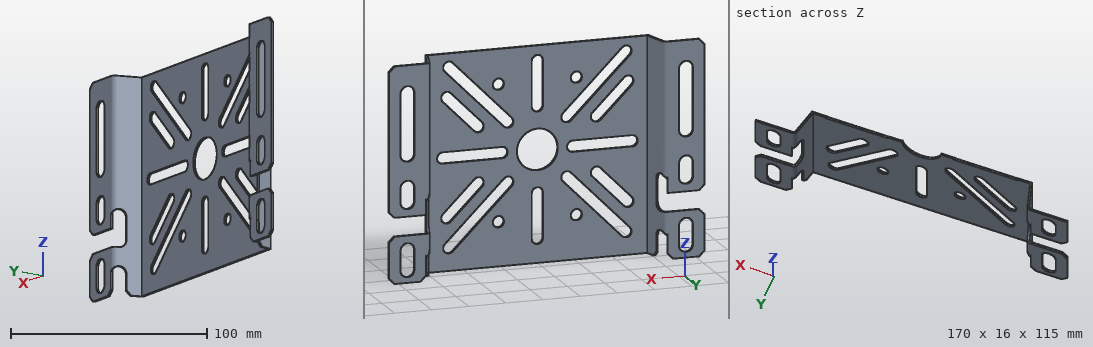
import cadquery as cq
import math

WIDTH = 170.0
DEPTH = 16.0
HEIGHT = 115.0
SHEET = 1.2

PLATE_HALF_WIDTH = 60.0
WALL_LEAN = math.radians(15.0)
BEND_RADIUS = 1.5
FLANGE_FRONT = DEPTH - SHEET
BEND_TANGENT = BEND_RADIUS * math.tan((math.pi / 2 - WALL_LEAN) / 2)
FLANGE_EDGE = PLATE_HALF_WIDTH + FLANGE_FRONT * math.tan(WALL_LEAN) + BEND_TANGENT
ARC_MID = math.sqrt(0.5)
THROUGH = 3 * DEPTH

LOWER_TAB_TOP = 25.0
UPPER_TAB_BOTTOM = 35.0
TAB_CHAMFER = 3.0
TAB_SLOT_X = 75.0
TAB_SLOT_WIDTH = 7.5
TAB_SLOT_RANGES = ((3.0, 21.0), (39.0, 54.0), (64.0, 104.0))

RELIEF_RADIUS = 4.0
RELIEF_START = 9.0
RELIEF_CROWN = RELIEF_START + RELIEF_RADIUS
RELIEF_END = 17.0
LOWER_RELIEF_TOP = 15.0
UPPER_RELIEF_TOP = 45.0
WALL_CHAMFER = 2.4

HUB_Z = 60.0
HUB_DIAMETER = 22.0
SLOT_WIDTH = 6.0
SCREW_DIAMETER = 6.0
SCREW_CIRCLE_RADIUS = 42.0
SCREW_ANGLES = (60.0, 120.0, 240.0, 300.0)
DIAGONAL_ANGLES = (45.0, 135.0, 225.0, 315.0)
HORIZONTAL_SLOT = (16.0, 54.0)
VERTICAL_SLOT = (20.0, 50.0)
DIAGONAL_RADIUS = 45.0
LONG_DIAGONAL_LENGTH = 51.0
SHORT_DIAGONAL_LENGTH = 30.0
SHORT_DIAGONAL_OFFSET = 12.0


def both_sides(body):
    """Return a body together with its mirror image across X = 0."""
    return body.union(body.mirror("YZ"))


def front_plane():
    """Workplane on Y = 0 whose local axes are X and Z."""
    return cq.Workplane("XZ")


def through_slot(x, z, length, width, angle):
    """Round-ended cutter along Y, centred at (x, z)."""
    return front_plane().center(x, z).slot2D(length, width, angle).extrude(THROUGH, both=True)


def through_box(x_min, x_max, z_min, z_max):
    """Rectangular cutter along Y."""
    size_x = x_max - x_min
    size_z = z_max - z_min
    box = cq.Workplane("XY").box(size_x, THROUGH, size_z, centered=(False, True, False))
    return box.translate((x_min, 0, z_min))


def folded_channel():
    half_width = WIDTH / 2
    slope = math.tan(WALL_LEAN)
    inner_shift = SHEET / math.cos(WALL_LEAN)
    outer_top = PLATE_HALF_WIDTH + FLANGE_FRONT * slope
    inner_foot = PLATE_HALF_WIDTH + SHEET * slope - inner_shift
    inner_top = PLATE_HALF_WIDTH + DEPTH * slope - inner_shift
    right_side = [
        (PLATE_HALF_WIDTH, 0),
        (outer_top, FLANGE_FRONT),
        (half_width, FLANGE_FRONT),
        (half_width, DEPTH),
        (inner_top, DEPTH),
        (inner_foot, SHEET),
    ]
    left_side = [(-x, y) for x, y in reversed(right_side)]
    channel = cq.Workplane("XY").polyline(right_side + left_side).close().extrude(HEIGHT)
    for side in (-1, 1):
        concave_edge = cq.selectors.NearestToPointSelector((side * outer_top, FLANGE_FRONT, HEIGHT / 2))
        channel = channel.edges("|Z").edges(concave_edge).fillet(BEND_RADIUS)
        convex_edge = cq.selectors.NearestToPointSelector((side * inner_top, DEPTH, HEIGHT / 2))
        channel = channel.edges("|Z").edges(convex_edge).fillet(BEND_RADIUS + SHEET)
    return channel


def corner_cutter(x, z, x_sign, z_sign):
    """Triangular cutter for a flange corner at (x, z); the signs point into the flange."""
    corner = [(x, z), (x + x_sign * TAB_CHAMFER, z), (x, z + z_sign * TAB_CHAMFER)]
    return front_plane().polyline(corner).close().extrude(THROUGH, both=True)


def tab_cutters():
    """Gap, corner chamfers and slots of the left flange."""
    outer = -WIDTH / 2
    cutter = through_box(outer, -FLANGE_EDGE, LOWER_TAB_TOP, UPPER_TAB_BOTTOM)
    for z, z_sign in ((0, 1), (LOWER_TAB_TOP, -1), (UPPER_TAB_BOTTOM, 1), (HEIGHT, -1)):
        cutter = cutter.union(corner_cutter(outer, z, 1, z_sign))
    cutter = cutter.union(corner_cutter(-FLANGE_EDGE, 0, -1, 1))
    for bottom, top in TAB_SLOT_RANGES:
        middle = (bottom + top) / 2
        cutter = cutter.union(through_slot(-TAB_SLOT_X, middle, top - bottom, TAB_SLOT_WIDTH, 90))
    return cutter


def relief_top(outline, top):
    """Add the rounded top of a relief, running from the plate side to the flange side."""
    spring = top - RELIEF_RADIUS
    arc_mid_z = spring + RELIEF_RADIUS * ARC_MID
    plate_side_mid = (RELIEF_CROWN - RELIEF_RADIUS * ARC_MID, arc_mid_z)
    flange_side_mid = (RELIEF_CROWN + (RELIEF_END - RELIEF_CROWN) * ARC_MID, arc_mid_z)
    return (
        outline.lineTo(RELIEF_START, spring)
        .threePointArc(plate_side_mid, (RELIEF_CROWN, top))
        .threePointArc(flange_side_mid, (RELIEF_END, spring))
    )


def relief_cutters():
    """Reliefs in the left wall, cut square to it and stopping at the flange edge."""
    wall = cq.Plane(
        origin=(-PLATE_HALF_WIDTH, 0, 0),
        xDir=(-math.sin(WALL_LEAN), math.cos(WALL_LEAN), 0),
        normal=(math.cos(WALL_LEAN), math.sin(WALL_LEAN), 0),
    )
    reach = 4 * SHEET

    lower = cq.Workplane(wall).moveTo(RELIEF_START - WALL_CHAMFER, 0).lineTo(RELIEF_START, WALL_CHAMFER)
    lower = relief_top(lower, LOWER_RELIEF_TOP).lineTo(RELIEF_END, 0).close()
    lower = lower.extrude(reach, both=True)

    arc_shift = RELIEF_RADIUS * ARC_MID
    arc_mid = (RELIEF_CROWN - arc_shift, LOWER_TAB_TOP + RELIEF_RADIUS - arc_shift)
    upper = cq.Workplane(wall).moveTo(RELIEF_CROWN, LOWER_TAB_TOP)
    upper = upper.threePointArc(arc_mid, (RELIEF_START, LOWER_TAB_TOP + RELIEF_RADIUS))
    upper = relief_top(upper, UPPER_RELIEF_TOP).lineTo(RELIEF_END, LOWER_TAB_TOP).close()
    upper = upper.extrude(reach, both=True)

    flange_zone = through_box(-WIDTH / 2, -FLANGE_EDGE, 0, HEIGHT)
    return lower.union(upper).cut(flange_zone)


def polar_slot(radius, offset, length, angle):
    """Slot parallel to a ray from the hub, shifted anticlockwise from it by the offset."""
    turn = math.radians(angle)
    x = radius * math.cos(turn) - offset * math.sin(turn)
    z = HUB_Z + radius * math.sin(turn) + offset * math.cos(turn)
    return through_slot(x, z, length, SLOT_WIDTH, angle)


def radial_slot(reach, angle):
    """Slot on a ray from the hub, spanning the given nearest and farthest reach."""
    near, far = reach
    return polar_slot((near + far) / 2, 0, far - near, angle)


def plate_cutters():
    cutter = front_plane().center(0, HUB_Z).circle(HUB_DIAMETER / 2).extrude(THROUGH, both=True)
    for angle in SCREW_ANGLES:
        turn = math.radians(angle)
        x = SCREW_CIRCLE_RADIUS * math.cos(turn)
        z = HUB_Z + SCREW_CIRCLE_RADIUS * math.sin(turn)
        hole = front_plane().center(x, z).circle(SCREW_DIAMETER / 2).extrude(THROUGH, both=True)
        cutter = cutter.union(hole)
    for angle in (0, 180):
        cutter = cutter.union(radial_slot(HORIZONTAL_SLOT, angle))
    for angle in (90, 270):
        cutter = cutter.union(radial_slot(VERTICAL_SLOT, angle))
    for index, angle in enumerate(DIAGONAL_ANGLES):
        offset = SHORT_DIAGONAL_OFFSET if index % 2 else -SHORT_DIAGONAL_OFFSET
        cutter = cutter.union(polar_slot(DIAGONAL_RADIUS, 0, LONG_DIAGONAL_LENGTH, angle))
        cutter = cutter.union(polar_slot(DIAGONAL_RADIUS, offset, SHORT_DIAGONAL_LENGTH, angle))
    return cutter


result = (
    folded_channel()
    .cut(both_sides(tab_cutters()))
    .cut(both_sides(relief_cutters()))
    .cut(plate_cutters())
)